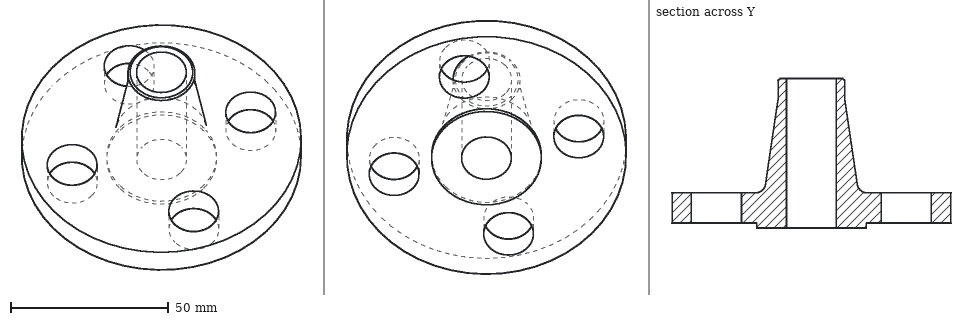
import cadquery as cq

flange_diameter = 88.9
flange_thickness = 9.7
face_diameter = 34.9
face_height = 1.6

total_height = 47.55
hub_base_diameter = 30.1
hub_fillet_radius = 3.0
pipe_diameter = 21.3
pipe_end_length = 6.5
bevel_width = 0.7
bevel_height = 0.5
bore_diameter = 15.8

bolt_count = 4
bolt_circle_diameter = 60.35
bolt_hole_diameter = 15.8

flange_top = face_height + flange_thickness
taper_top = total_height - pipe_end_length


def disc(diameter, height, base_z):
    """Solid disc on the Z axis, standing on base_z."""
    return cq.Workplane("XY").workplane(offset=base_z).circle(diameter / 2).extrude(height)


def neck():
    """Tapered hub and bevelled pipe end, turned about the Z axis."""
    pipe_radius = pipe_diameter / 2
    return (
        cq.Workplane("XZ")
        .moveTo(0, flange_top)
        .lineTo(hub_base_diameter / 2, flange_top)
        .lineTo(pipe_radius, taper_top)
        .lineTo(pipe_radius, total_height - bevel_height)
        .lineTo(pipe_radius - bevel_width, total_height)
        .lineTo(0, total_height)
        .close()
        .revolve(360, (0, 0, 0), (0, 1, 0))
    )


def bolt_holes():
    """Through holes evenly spaced on the bolt circle, the first one on +X."""
    return (
        cq.Workplane("XY")
        .polarArray(bolt_circle_diameter / 2, 0, 360, bolt_count)
        .circle(bolt_hole_diameter / 2)
        .extrude(flange_top)
    )


body = (
    disc(face_diameter, face_height, 0)
    .union(disc(flange_diameter, flange_thickness, face_height))
    .union(neck())
)

flange_top_face = body.faces(">Z[-2]")
hub_base_edge = flange_top_face.edges(cq.selectors.RadiusNthSelector(0))
body = hub_base_edge.fillet(hub_fillet_radius)

bore = disc(bore_diameter, total_height, 0)
result = body.cut(bore).cut(bolt_holes())